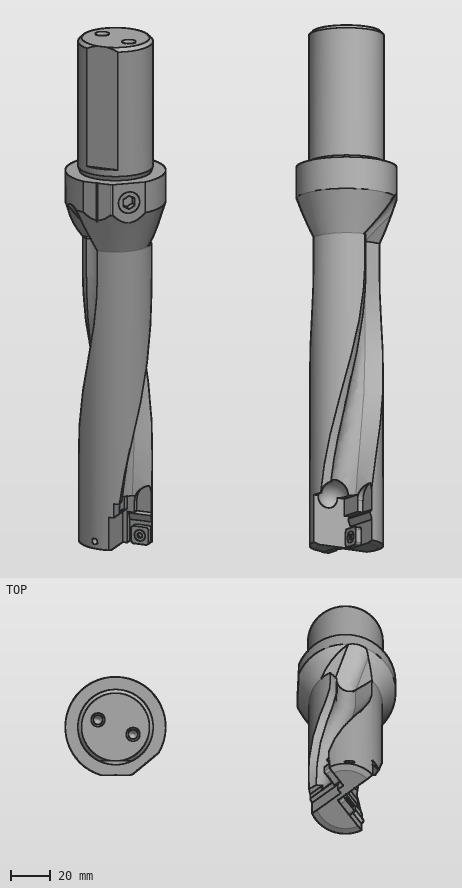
import cadquery as cq
import math


total_height = 265.7
shank_bottom = 198.2
flange_top = 195.9
flange_bottom = 179.6
cone_bottom = 158.5

clear_radius = 29.2

flange_radius = 50.8 / 2
shank_radius = 38.0 / 2
drill_radius = 37.2 / 2
neck_radius = shank_radius - 0.8
shank_chamfer = 1.9
end_chamfer_width = 3.2
end_chamfer_height = 0.8

shank_flat_distance = 17.0
shank_flat_bottom = 201.7

index_flat_distance = flange_radius - 1.0
plug_flat_distance = 24.0
plug_flat_angle = -50.5
index_mark_width = 0.8
index_mark_depth = 0.3

coolant_radius = 2.5
coolant_mouth_radius = 3.5
coolant_mouth_depth = 1.5
coolant_bottom = flange_bottom
coolant_circle_radius = 9.5
coolant_angle = 157.5

plug_radius = 5.5
plug_length = 10.5
plug_height = 185.8
hex_width = 6.0
hex_depth = 4.3

flute_bottom = 19.0
twist_start = 8.0
twist_end = 140.8
twist_angle = 77.0
guide_radius = 26.5
guide_points = 24
runout_length = 39.9
runout_direction = (-0.5, -1, 1.2)
flute_wall_inner = (-3.2, -8.8)
flute_wall_outer = (-1.3, -clear_radius)

wide_flute_points = ((-clear_radius, 10.5), (-15.1, -1.9), (-7.0, -3.0))
narrow_flute_points = ((-clear_radius, -2.0), (-13.8, -4.8), (-6.5, -4.3))
runout_points = ((-clear_radius, 1.3), (-10.5, 1.3), (-4.8, -2.0))

flute_ball_radius = 7.7
flute_ball_y = -10.0
flute_ball_x = 3.2
flute_ball_height = 25.2

gash_wall = 10.4
gash_floor = 3.2
gash_top = 30.5
gash_corner_radius = 8.0
ridge_floor = 2.0
seat_clearance = 0.8
ridge_height = 15.1
seat_top = 11.5
pocket_top = 16.5
shoulder_top = 18.0
exit_top = 25.2
outer_seat_wall = 6.5
outer_shoulder_wall = 4.0
inner_seat_wall = -1.9

insert_width = 9.3
insert_thickness = 3.5
insert_corner_radius = 1.3
outer_insert_offset = 13.3
inner_insert_offset = 3.7
screw_head_radius = 3.0
screw_head_depth = 2.0
screw_radius = 1.5
screw_length = 10.5
screw_socket_radius = 1.3
screw_socket_depth = 1.0
insert_height = insert_width / 2


def turned(shape, angle):
    """Turn a shape about the drill axis."""
    return shape.rotate((0, 0, 0), (0, 0, 1), angle)


def box_between(x_range, y_range, z_range):
    """Box given by its lower and upper limits along each axis."""
    return (
        cq.Workplane("XY", origin=(x_range[0], y_range[0], z_range[0]))
        .box(x_range[1] - x_range[0], y_range[1] - y_range[0], z_range[1] - z_range[0], centered=False)
    )


def make_blank():
    """Turned body: drill, cone, flange, neck and shank."""
    outline = [
        (0, 0),
        (drill_radius - end_chamfer_width, 0),
        (drill_radius, end_chamfer_height),
        (drill_radius, cone_bottom),
        (flange_radius, flange_bottom),
        (flange_radius, flange_top),
        (neck_radius, flange_top),
        (shank_radius, shank_bottom),
        (shank_radius, total_height - shank_chamfer),
        (shank_radius - shank_chamfer, total_height),
        (0, total_height),
    ]
    return cq.Workplane("XZ").polyline(outline).close().revolve(360, (0, 0), (0, 1))


def make_flange_flat(distance, angle):
    """Cutter for a flange flat whose outward normal lies at the given angle from +X."""
    cutter = box_between(
        (distance, clear_radius), (-flange_radius, flange_radius), (cone_bottom, flange_top)
    )
    return turned(cutter, angle)


def make_flute_profile(bevel_outer, bevel_inner, hollow):
    """Flute section at the cone: a bevel, a hollow corner and a straight wall, in the -X -Y quadrant."""
    return (
        cq.Workplane("XY", origin=(0, 0, cone_bottom))
        .moveTo(*bevel_outer)
        .lineTo(*bevel_inner)
        .threePointArc(hollow, flute_wall_inner)
        .lineTo(*flute_wall_outer)
        .lineTo(-clear_radius, -clear_radius)
        .close()
    )


def twist_at(z):
    """Flute angle at a height, measured from its angle at the top."""
    share = min(max((z - twist_start) / (twist_end - twist_start), 0), 1)
    return -twist_angle * (1 + math.cos(math.pi * share)) / 2


def make_flute(profile):
    """Cutter for the flute that meets the cone on the -X -Y side."""
    guide = []
    for i in range(guide_points + 1):
        z = cone_bottom + (flute_bottom - cone_bottom) * i / guide_points
        angle = math.radians(twist_at(z))
        guide.append((guide_radius * math.cos(angle), guide_radius * math.sin(angle), z))
    guide_curve = cq.Workplane("XY").spline(guide)
    path = cq.Workplane("XZ").moveTo(0, cone_bottom).lineTo(0, flute_bottom)
    return profile.sweep(path, auxSpine=guide_curve)


def make_flute_runout(profile):
    """Cutter that carries the flute section outward and upward through the cone."""
    face = cq.Face.makeFromWires(profile.val())
    direction = cq.Vector(*runout_direction).normalized() * runout_length
    return cq.Workplane(cq.Solid.extrudeLinear(face, direction))


def make_flute_ball():
    """Cutter for the round end of the inner insert's flute, before it is turned to that side."""
    centre = cq.Workplane("XY", origin=(flute_ball_x, flute_ball_y, flute_ball_height))
    return centre.sphere(flute_ball_radius)


def make_pocket(seat_wall, shoulder_wall, exit_wall):
    """Cutter for an insert pocket facing -Y, open towards +X."""
    seat_outline = [
        (-seat_clearance, 0),
        (insert_thickness, 0),
        (insert_thickness, seat_top),
        (ridge_floor, ridge_height),
        (gash_floor, pocket_top),
        (-seat_clearance, pocket_top),
    ]
    seat = (
        cq.Workplane("YZ", origin=(seat_wall, 0, 0))
        .polyline(seat_outline)
        .close()
        .extrude(clear_radius - seat_wall)
    )
    shoulder = box_between((shoulder_wall, clear_radius), (-clear_radius, 0), (0, shoulder_top))
    flute_exit = box_between((exit_wall, clear_radius), (-clear_radius, 0), (0, exit_top))
    gash = (
        cq.Workplane("XZ", origin=(0, gash_floor, 0))
        .moveTo(gash_wall, pocket_top)
        .lineTo(gash_wall, gash_top - gash_corner_radius)
        .radiusArc((gash_wall + gash_corner_radius, gash_top), gash_corner_radius)
        .lineTo(clear_radius, gash_top)
        .lineTo(clear_radius, pocket_top)
        .close()
        .extrude(clear_radius)
    )
    return seat.union(shoulder).union(flute_exit).union(gash)


def make_screw_hole(offset):
    """Through hole for an insert screw, along Y."""
    return (
        cq.Workplane("XZ", origin=(offset, 0, insert_height))
        .circle(screw_radius)
        .extrude(-clear_radius)
    )


def make_screw_blank(offset):
    """Countersunk screw whose head lies in the plane Y = 0, without its socket."""
    outline = [
        (0, 0),
        (screw_head_radius, 0),
        (screw_radius, screw_head_depth),
        (screw_radius, screw_length),
        (0, screw_length),
    ]
    screw = cq.Workplane("XY").polyline(outline).close().revolve(360, (0, 0), (0, 1))
    return screw.translate((offset, 0, insert_height))


def make_screw(offset):
    socket = (
        cq.Workplane("XZ", origin=(offset, 0, insert_height))
        .circle(screw_socket_radius)
        .extrude(-screw_socket_depth)
    )
    return make_screw_blank(offset).cut(socket)


def make_insert(offset):
    """Square cutting insert with rounded corners, its face in the plane Y = 0."""
    plate = (
        cq.Workplane("XZ", origin=(offset, 0, insert_height))
        .rect(insert_width, insert_width)
        .extrude(-insert_thickness)
        .edges("|Y")
        .fillet(insert_corner_radius)
    )
    return plate.cut(make_screw_blank(offset))


def plug_plane():
    """Plane of the plug's flat, centred on the plug, its X direction along the drill axis."""
    angle = math.radians(plug_flat_angle)
    normal = (math.cos(angle), math.sin(angle), 0)
    origin = (plug_flat_distance * normal[0], plug_flat_distance * normal[1], plug_height)
    return cq.Workplane(cq.Plane(origin=origin, xDir=(0, 0, 1), normal=normal))


def make_plug_blank():
    return plug_plane().circle(plug_radius).extrude(-plug_length)


def make_plug():
    """Round plug with a hexagon socket, flush with its flat."""
    corner_diameter = hex_width / math.cos(math.pi / 6)
    socket = plug_plane().polygon(6, corner_diameter).extrude(-hex_depth)
    return make_plug_blank().cut(socket)


def make_coolant_hole(angle):
    """Cutter for a coolant hole with a countersunk mouth and a drill-point bottom."""
    outline = [
        (0, coolant_bottom),
        (coolant_radius, coolant_bottom + coolant_radius),
        (coolant_radius, total_height - coolant_mouth_depth),
        (coolant_mouth_radius, total_height),
        (0, total_height),
    ]
    hole = cq.Workplane("XZ").polyline(outline).close().revolve(360, (0, 0), (0, 1))
    return turned(hole.translate((coolant_circle_radius, 0, 0)), angle)


def make_body():
    body = make_blank()

    body = body.cut(
        box_between(
            (-shank_radius, shank_radius),
            (-clear_radius, -shank_flat_distance),
            (shank_flat_bottom, total_height),
        )
    )

    body = body.cut(make_flange_flat(index_flat_distance, -90))
    body = body.cut(make_flange_flat(plug_flat_distance, plug_flat_angle))
    body = body.cut(
        box_between(
            (-index_mark_width / 2, index_mark_width / 2),
            (-flange_radius, -index_flat_distance + index_mark_depth),
            (cone_bottom, flange_top),
        )
    )

    body = body.cut(make_flute(make_flute_profile(*wide_flute_points)))
    body = body.cut(turned(make_flute(make_flute_profile(*narrow_flute_points)), 180))
    runout_profile = make_flute_profile(*runout_points)
    for angle in (0, 180):
        body = body.cut(turned(make_flute_runout(runout_profile), angle))
        body = body.cut(make_coolant_hole(coolant_angle + angle))

    body = body.cut(make_pocket(outer_seat_wall, outer_shoulder_wall, outer_seat_wall))
    body = body.cut(make_screw_hole(outer_insert_offset))
    body = body.cut(turned(make_pocket(inner_seat_wall, inner_seat_wall, inner_seat_wall), 180))
    body = body.cut(turned(make_screw_hole(inner_insert_offset), 180))
    body = body.cut(turned(make_flute_ball(), 180))
    return body.cut(make_plug_blank())


body = make_body()
outer_insert = make_insert(outer_insert_offset)
outer_screw = make_screw(outer_insert_offset)
inner_insert = turned(make_insert(inner_insert_offset), 180)
inner_screw = turned(make_screw(inner_insert_offset), 180)
plug = make_plug()

result = cq.Compound.makeCompound(
    [
        body.val(),
        outer_insert.val(),
        outer_screw.val(),
        inner_insert.val(),
        inner_screw.val(),
        plug.val(),
    ]
)